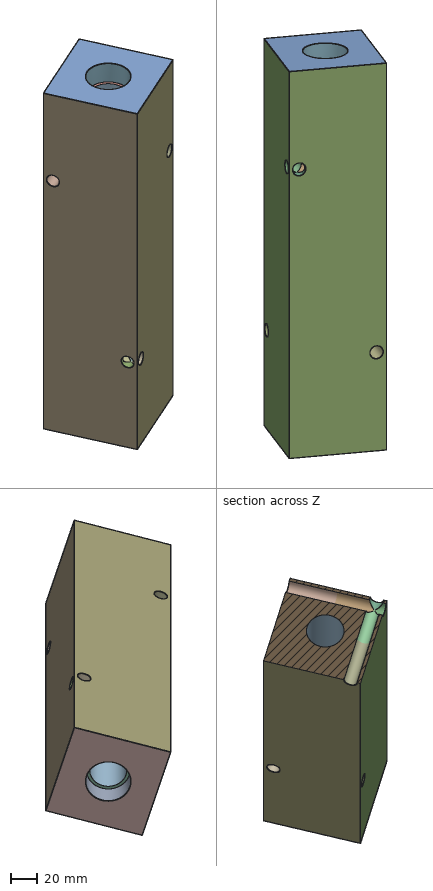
import cadquery as cq

height = 311.0
side = 76.2
edge_break = 0.3

bore_diameter = 28.0
port_mouth_diameter = 34.0
port_root_diameter = 32.7
port_depth = 16.8

bolt_hole_diameter = 10.0
bolt_offset = 30.2
bolt_level = 76.2


def bore_cutter():
    """Revolved half-section of the bore and its tapered port, mirrored about mid-height."""
    top = height / 2
    shoulder = top - port_depth
    upper_half = (
        cq.Workplane("XZ")
        .lineTo(bore_diameter / 2, 0)
        .lineTo(bore_diameter / 2, shoulder)
        .lineTo(port_root_diameter / 2, shoulder)
        .lineTo(port_mouth_diameter / 2, top)
        .lineTo(0, top)
        .close()
        .revolve(360, (0, 0, 0), (0, 1, 0))
    )
    return upper_half.union(upper_half.mirror("XY"))


def bolt_hole_cutter(plane, upper_side):
    """Two through holes in diagonally opposite places, the upper one on the given side of the axis."""
    return (
        cq.Workplane(plane)
        .pushPoints([
            (upper_side * bolt_offset, bolt_level),
            (-upper_side * bolt_offset, -bolt_level),
        ])
        .circle(bolt_hole_diameter / 2)
        .extrude(side, both=True)
    )


block = cq.Workplane("XY").box(side, side, height)
holes_along_y = bolt_hole_cutter("XZ", -1)
holes_along_x = bolt_hole_cutter("YZ", 1)
drilled_block = block.cut(bore_cutter()).cut(holes_along_y).cut(holes_along_x)
outer_faces = drilled_block.faces("<X or >X or <Y or >Y or <Z or >Z")
result = outer_faces.edges().chamfer(edge_break)